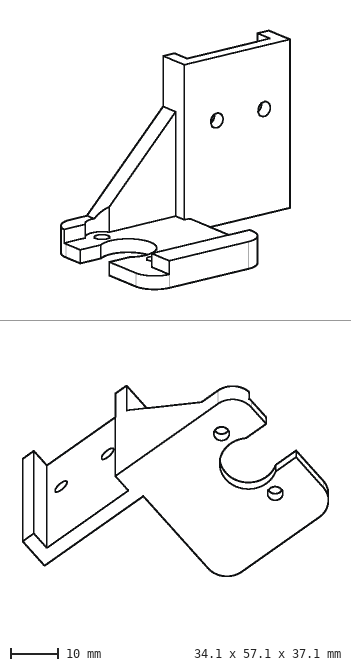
import cadquery as cq


plate_width = 34.12
plate_depth = 30.72
plate_thickness = 3.0
corner_radius = 5.0

rail_height = 3.0
rail_top = plate_thickness + rail_height
rail_width = 6.1
rail_front_setback = 5.0

wall_thickness = 3.0
channel_pocket_depth = 4.37
channel_depth = channel_pocket_depth + wall_thickness
channel_back = 57.08
channel_length = 27.75
channel_front = channel_back - channel_length
channel_height = 37.13

gusset_top = 26.0
gusset_run = gusset_top - rail_top

screw_diameter = 3.2
bore_diameter = 12.0
bore_x = 15.0
bore_y = 8.75
slot_width = 10.0
plate_hole_spacing = 18.0
screw_head_diameter = 7.0

wall_hole_count = 2
wall_hole_spacing = 12.4
wall_hole_drop = 14.0
wall_hole_back_margin = 6.8
wall_hole_z = channel_height - wall_hole_drop
rear_wall_hole_y = channel_back - wall_hole_back_margin


def box(x_min, y_min, z_min, x_size, y_size, z_size):
    """Box placed by its minimum corner."""
    corner = cq.Workplane("XY", origin=(x_min, y_min, z_min))
    return corner.box(x_size, y_size, z_size, centered=False)


def vertical_cylinder(x, y, diameter, bottom, top):
    """Cylinder along Z between two heights."""
    return cq.Workplane("XY", origin=(x, y, bottom)).circle(diameter / 2).extrude(top - bottom)


def make_base_plate():
    """Flat plate with a raised rail along its right side, sharing the rounded corners."""
    plate = box(0, 0, 0, plate_width, plate_depth, plate_thickness)
    rail = box(
        plate_width - rail_width,
        rail_front_setback,
        plate_thickness,
        rail_width,
        plate_depth - rail_front_setback,
        rail_height,
    )
    body = plate.union(rail)
    corner_mask = box(0, 0, 0, plate_width, plate_depth, rail_top)
    corner_mask = corner_mask.edges("|Z and (>X or <Y)").fillet(corner_radius)
    return body.intersect(corner_mask)


def make_channel():
    """C-shaped upright with its pocket facing -X."""
    upright = box(0, channel_front, 0, channel_depth, channel_length, channel_height)
    pocket = box(
        0,
        channel_front + wall_thickness,
        0,
        channel_pocket_depth,
        channel_length - 2 * wall_thickness,
        channel_height,
    )
    return upright.cut(pocket)


def make_gusset():
    """Sloped rib along the left side, ending in a low rail with a rounded front corner."""
    profile = [
        (0, 0),
        (channel_front, 0),
        (channel_front, gusset_top),
        (channel_front - gusset_run, rail_top),
        (0, rail_top),
    ]
    gusset = cq.Workplane("YZ").polyline(profile).close().extrude(channel_pocket_depth)
    corner_mask = box(0, 0, 0, plate_width, channel_front, gusset_top)
    corner_mask = corner_mask.edges("|Z and <X and <Y").fillet(corner_radius)
    return gusset.intersect(corner_mask)


def cut_keyhole(body):
    """Round bore opening to the front edge through a narrower slot."""
    bore = vertical_cylinder(bore_x, bore_y, bore_diameter, 0, plate_thickness)
    slot = box(bore_x - slot_width / 2, 0, 0, slot_width, bore_y, plate_thickness)
    return body.cut(bore).cut(slot)


def cut_plate_holes(body):
    """Screw holes beside the bore, with room for each screw head above the plate."""
    for side in (-1, 1):
        hole_x = bore_x + side * plate_hole_spacing / 2
        hole = vertical_cylinder(hole_x, bore_y, screw_diameter, 0, plate_thickness)
        head_space = vertical_cylinder(hole_x, bore_y, screw_head_diameter, plate_thickness, gusset_top)
        body = body.cut(hole).cut(head_space)
    return body


def cut_wall_holes(body):
    """Screw holes along X through the channel wall."""
    for index in range(wall_hole_count):
        hole_y = rear_wall_hole_y - index * wall_hole_spacing
        hole_start = cq.Workplane("YZ", origin=(0, hole_y, wall_hole_z))
        hole = hole_start.circle(screw_diameter / 2).extrude(channel_depth)
        body = body.cut(hole)
    return body


bracket = make_base_plate().union(make_channel()).union(make_gusset())
bracket = cut_keyhole(bracket)
bracket = cut_plate_holes(bracket)
result = cut_wall_holes(bracket)